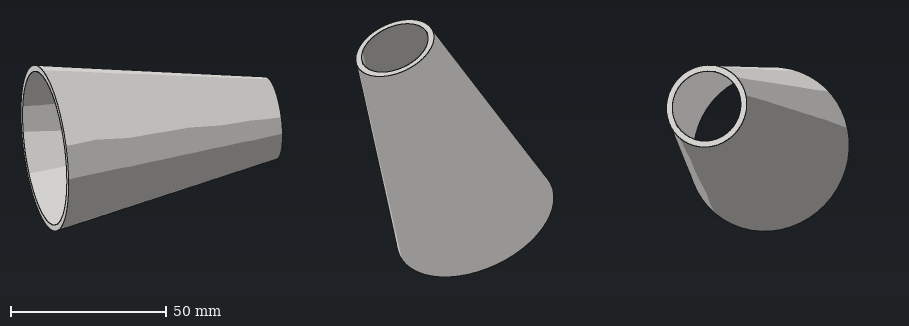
import cadquery as cq

length = 76.0
wide_diameter = 54.0
narrow_diameter = 26.9
end_wall = 2.05

wide_radius = wide_diameter / 2
narrow_radius = narrow_diameter / 2

wall_section = [
    (wide_radius - end_wall, 0),
    (wide_radius, 0),
    (narrow_radius, length),
    (narrow_radius - end_wall, length),
]

result = (
    cq.Workplane("XY")
    .polyline(wall_section)
    .close()
    .revolve(360, (0, 0, 0), (0, 1, 0))
)